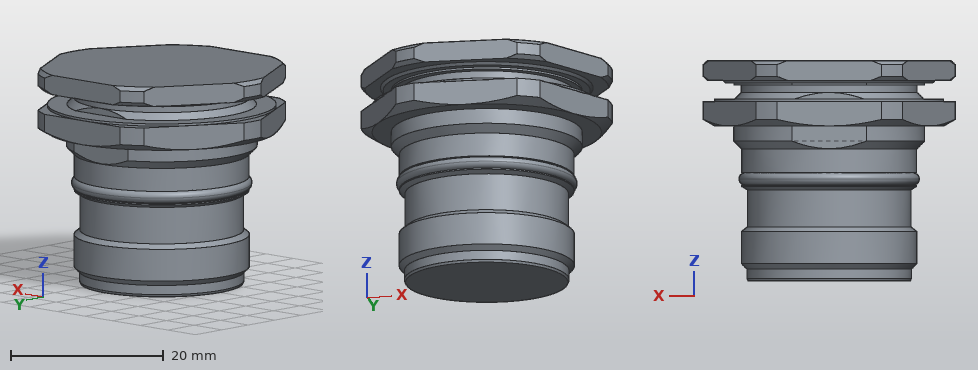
import cadquery as cq
import math

hex_sides = 6
across_flats = 30.0
corner_radius = 16.5

top_z = 28.8
head_bottom_z = 26.22
undercut_top_z = 25.6
undercut_bottom_z = 24.65
washer_face_z = 23.75
nut_top_z = 23.45
nut_bottom_z = 20.25
thread_bottom_z = 18.27
ring_z = 13.32
waist_top_z = 11.9
waist_bottom_z = 7.05

head_chamfer = 0.53
seat_radius = 13.92
seat_taper = 0.35

washer_face_radius = 14.97
nut_chamfer_angle = 30.0

thread_radius = 12.5
undercut_radius = 11.5
flat_y = 11.5

body_radius = 11.45
ring_radius = 0.8
ring_center_radius = 11.0
groove_half_width = 0.82
lip_height = 0.43
waist_radius = 10.72
band_radius = 11.48
band_top_z = 6.45
band_bottom_z = 2.25
tip_radius = 10.8
tip_top_z = 1.55
tip_chamfer_width = 0.15
tip_chamfer_height = 0.33


def revolve(profile):
    """Revolve a list of (radius, z) points, closed onto the Z axis."""
    lower_end = (0, profile[0][1])
    upper_end = (0, profile[-1][1])
    outline = cq.Workplane("XZ").polyline([lower_end, *profile, upper_end]).close()
    return outline.revolve(360, (0, 0, 0), (0, 1, 0))


def hexagon(bottom_z, height):
    """Hexagonal prism with two corners on the X axis."""
    across_corners = across_flats / math.cos(math.pi / hex_sides)
    return cq.Workplane("XY").workplane(offset=bottom_z).polygon(hex_sides, across_corners).extrude(height)


def make_head():
    chamfered_disc = revolve([
        (corner_radius - head_chamfer, head_bottom_z),
        (corner_radius, head_bottom_z + head_chamfer),
        (corner_radius, top_z - head_chamfer),
        (corner_radius - head_chamfer, top_z),
    ])
    seat = revolve([
        (seat_radius - seat_taper, head_bottom_z - seat_taper),
        (seat_radius, head_bottom_z),
    ])
    return hexagon(head_bottom_z, top_z - head_bottom_z).intersect(chamfered_disc).union(seat)


def make_nut():
    inscribed_radius = across_flats / 2
    chamfer_height = (corner_radius - inscribed_radius) * math.tan(math.radians(nut_chamfer_angle))
    chamfered_disc = revolve([
        (inscribed_radius, nut_bottom_z),
        (corner_radius, nut_bottom_z + chamfer_height),
        (corner_radius, nut_top_z),
    ])
    washer_face = revolve([
        (washer_face_radius, nut_top_z),
        (washer_face_radius, washer_face_z),
    ])
    return hexagon(nut_bottom_z, nut_top_z - nut_bottom_z).intersect(chamfered_disc).union(washer_face)


def make_collar():
    thread_depth = thread_radius - undercut_radius
    lower_taper = thread_radius - body_radius
    collar = revolve([
        (body_radius, thread_bottom_z - lower_taper),
        (thread_radius, thread_bottom_z),
        (thread_radius, undercut_bottom_z - thread_depth),
        (undercut_radius, undercut_bottom_z),
        (undercut_radius, undercut_top_z),
        (thread_radius, undercut_top_z),
        (thread_radius, head_bottom_z),
    ])
    beyond_flat = cq.Workplane("XY").box(
        2 * thread_radius, thread_radius, top_z, centered=(True, False, False)
    ).translate((0, flat_y, 0))
    return collar.cut(beyond_flat)


def make_body():
    return revolve([
        (tip_radius - tip_chamfer_width, 0),
        (tip_radius, tip_chamfer_height),
        (tip_radius, tip_top_z),
        (band_radius, band_bottom_z),
        (band_radius, band_top_z),
        (waist_radius, waist_bottom_z),
        (waist_radius, waist_top_z),
        (body_radius, waist_top_z + lip_height),
        (body_radius, ring_z - groove_half_width),
        (ring_center_radius, ring_z - groove_half_width),
        (ring_center_radius, ring_z + groove_half_width),
        (body_radius, ring_z + groove_half_width),
        (body_radius, thread_bottom_z),
    ])


def make_sealing_ring():
    section = cq.Workplane("XZ").center(ring_center_radius, ring_z).circle(ring_radius)
    return section.revolve(360, (-ring_center_radius, 0, 0), (-ring_center_radius, 1, 0))


result = make_body().union(make_sealing_ring()).union(make_collar()).union(make_nut()).union(make_head())